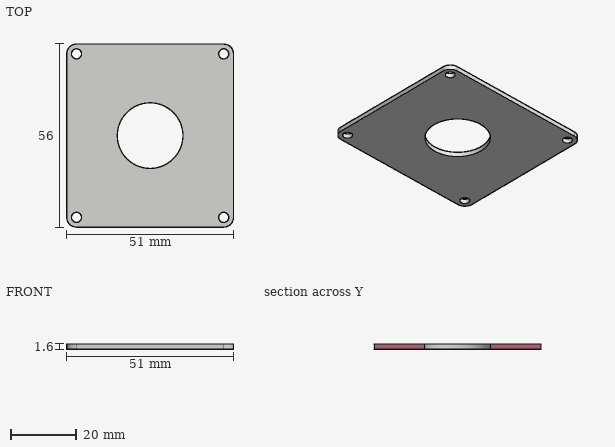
import cadquery as cq

width = 51.0
length = 56.0
thickness = 1.6
corner_radius = 3.0

centre_hole_diameter = 20.0
screw_hole_diameter = 3.0

screw_spacing_x = width - 2 * corner_radius
screw_spacing_y = length - 2 * corner_radius

plate = (
    cq.Workplane("XY")
    .box(width, length, thickness)
    .edges("|Z")
    .fillet(corner_radius)
)

result = (
    plate.faces(">Z")
    .workplane()
    .hole(centre_hole_diameter)
    .faces(">Z")
    .workplane(origin=(0, 0, 0))
    .rect(screw_spacing_x, screw_spacing_y, forConstruction=True)
    .vertices()
    .hole(screw_hole_diameter)
)